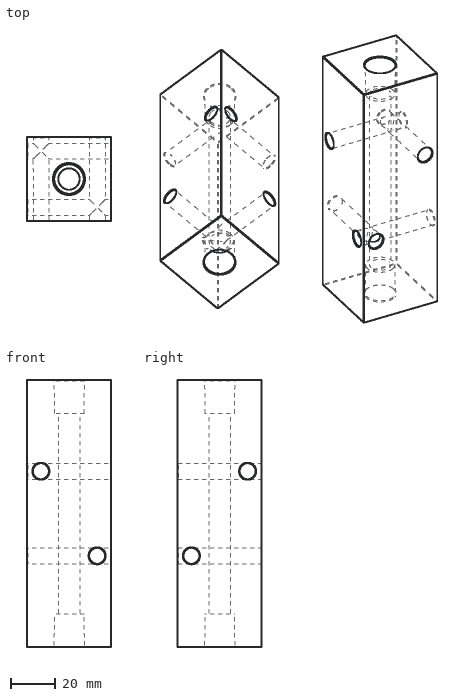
import cadquery as cq

width = 38.1
height = 120.6
edge_chamfer = 0.29

bore_diameter = 9.5
port_mouth_diameter = 14.6
port_outer_diameter = 13.8
port_inner_diameter = 13.2
port_depth = 15.2

cross_diameter = 7.1
cross_mouth_diameter = 7.8
cross_offset = 12.7
cross_height = 19.1


def axial_passage():
    """Tapered, countersunk ports at both ends joined by the narrower bore."""
    top = height / 2
    mouth_radius = port_mouth_diameter / 2
    outer_radius = port_outer_diameter / 2
    flare = mouth_radius - outer_radius
    port = (
        cq.Workplane("XZ")
        .moveTo(0, top)
        .lineTo(mouth_radius, top)
        .lineTo(outer_radius, top - flare)
        .lineTo(port_inner_diameter / 2, top - port_depth)
        .lineTo(0, top - port_depth)
        .close()
        .revolve(360, (0, 0), (0, 1))
    )
    bore = cq.Workplane("XY").circle(bore_diameter / 2).extrude(top, both=True)
    return bore.union(port).union(port.mirror("XY"))


def cross_hole():
    """Cutter along Z across the block width, flared at 45 degrees at both ends."""
    half = width / 2
    radius = cross_diameter / 2
    mouth_radius = cross_mouth_diameter / 2
    flare = mouth_radius - radius
    return (
        cq.Workplane("XZ")
        .moveTo(0, -half)
        .lineTo(mouth_radius, -half)
        .lineTo(radius, flare - half)
        .lineTo(radius, half - flare)
        .lineTo(mouth_radius, half)
        .lineTo(0, half)
        .close()
        .revolve(360, (0, 0), (0, 1))
    )


block = cq.Workplane("XY").box(width, width, height).edges().chamfer(edge_chamfer)
result = block.cut(axial_passage())

along_x = cross_hole().rotate((0, 0, 0), (0, 1, 0), 90)
along_y = cross_hole().rotate((0, 0, 0), (1, 0, 0), 90)
for side in (1, -1):
    level = side * cross_height
    result = result.cut(along_x.translate((0, side * cross_offset, level)))
    result = result.cut(along_y.translate((-side * cross_offset, 0, level)))